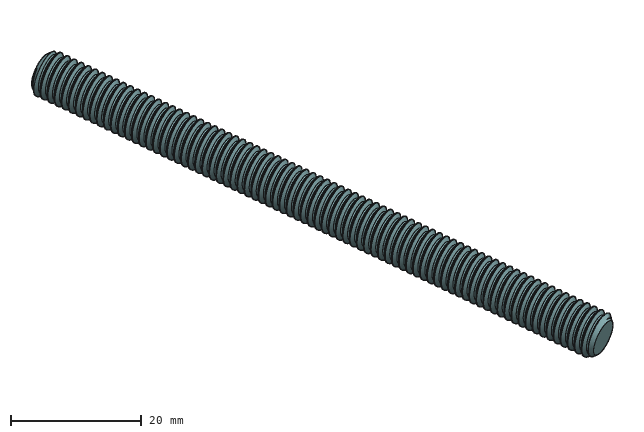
import cadquery as cq
import math

LENGTH = 100.0
MAJOR_DIAMETER = 7.68
PITCH = 1.25
END_FACE_DIAMETER = 5.8
CREST_OFFSET = 0.31

FLANK_ANGLE = math.radians(30)
SHARP_HEIGHT = PITCH / (2 * math.tan(FLANK_ANGLE))
THREAD_DEPTH = 5 / 8 * SHARP_HEIGHT
CREST_WIDTH = PITCH / 8
ROOT_WIDTH = PITCH / 4

MAJOR_RADIUS = MAJOR_DIAMETER / 2
ROOT_RADIUS = MAJOR_RADIUS - THREAD_DEPTH
CHAMFER = (MAJOR_DIAMETER - END_FACE_DIAMETER) / 2

CUTTER_CLEARANCE = 0.05
OVERRUN_TURNS = 2
SEAM_ANGLE = 37


def make_rod():
    """Plain rod with a 45 degree chamfer on each end."""
    rod = cq.Workplane("YZ", origin=(-LENGTH / 2, 0, 0)).circle(MAJOR_RADIUS).extrude(LENGTH)
    return rod.faces("<X or >X").chamfer(CHAMFER).rotate((0, 0, 0), (1, 0, 0), SEAM_ANGLE)


def helix_turn(radius, start):
    """One right-handed turn about X, starting on the +Y side at x = start."""
    wire = cq.Wire.makeHelix(PITCH, PITCH, radius)
    return wire.rotate(cq.Vector(), cq.Vector(1, 1, 1), 120).translate(cq.Vector(start, 0, 0))


def section_face(corners, x):
    """Cross-section of the groove on the +Y side, its middle at the given x."""
    points = [cq.Vector(x + shift, radius, 0) for radius, shift in corners]
    return cq.Face.makeFromWires(cq.Wire.makePolygon(points, close=True))


def make_groove_cutter():
    """Helical bar with the trapezoidal section of the thread groove, one face per side and turn."""
    outer_radius = MAJOR_RADIUS + CUTTER_CLEARANCE
    root_half = ROOT_WIDTH / 2
    outer_half = (PITCH - CREST_WIDTH) / 2 + CUTTER_CLEARANCE * math.tan(FLANK_ANGLE)
    corners = [
        (ROOT_RADIUS, -root_half),
        (outer_radius, -outer_half),
        (outer_radius, outer_half),
        (ROOT_RADIUS, root_half),
    ]

    turns = math.ceil(LENGTH / PITCH) + 2 * OVERRUN_TURNS
    start = -LENGTH / 2 + CREST_OFFSET + PITCH / 2 - OVERRUN_TURNS * PITCH
    faces = [section_face(corners, start), section_face(corners, start + turns * PITCH)]
    for turn in range(turns):
        x = start + turn * PITCH
        edges = [helix_turn(radius, x + shift) for radius, shift in corners]
        for index, edge in enumerate(edges):
            faces.append(cq.Face.makeRuledSurface(edges[index - 1], edge))
    return cq.Solid.makeSolid(cq.Shell.makeShell(faces))


result = make_rod().cut(cq.Workplane(make_groove_cutter()))